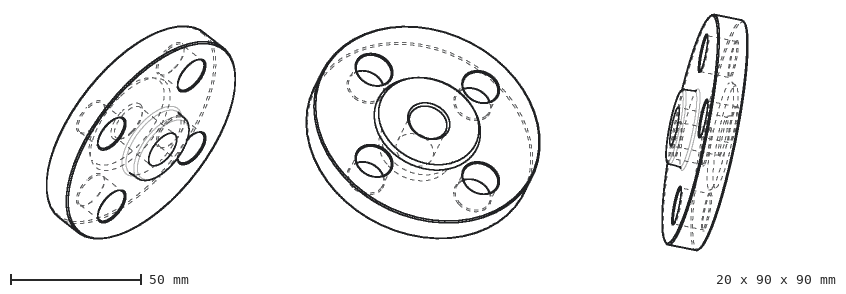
import cadquery as cq

flange_diameter = 90.0
flange_thickness = 12.0
rim_chamfer = 0.5

face_height = 2.0
face_tip_diameter = 40.0
face_base_diameter = 42.3

overall_length = 20.0
neck_end_diameter = 29.1
neck_end_fillet = 1.0
neck_root_diameter = 29.9
root_fillet = 1.1

bore_diameter = 14.9
bore_chamfer = 0.9
bolt_hole_diameter = 14.0
bolt_hole_chamfer = 0.45
bolt_circle_diameter = 60.0
bolt_count = 4
first_bolt_angle = 45.0

flange_front = face_height
flange_back = flange_front + flange_thickness


def make_body():
    """Revolve the half section of the solid flange about the X axis."""
    rim_radius = flange_diameter / 2
    neck_root_radius = neck_root_diameter / 2
    neck_end_radius = neck_end_diameter / 2
    section = (
        cq.Workplane("XY")
        .moveTo(0, 0)
        .lineTo(0, face_tip_diameter / 2)
        .lineTo(flange_front, face_base_diameter / 2)
        .lineTo(flange_front, rim_radius - rim_chamfer)
        .lineTo(flange_front + rim_chamfer, rim_radius)
        .lineTo(flange_back - rim_chamfer, rim_radius)
        .lineTo(flange_back, rim_radius - rim_chamfer)
        .lineTo(flange_back, neck_root_radius)
        .lineTo(overall_length, neck_end_radius)
        .lineTo(overall_length, 0)
        .close()
    )
    body = section.revolve(360, (0, 0, 0), (1, 0, 0))
    body = body.edges(">X").fillet(neck_end_fillet)
    flat_back = body.faces("|X").faces(">X[-2]")
    return flat_back.edges(cq.selectors.RadiusNthSelector(0)).fillet(root_fillet)


def make_hole_cutter(diameter, chamfer, start, end, chamfer_end):
    """Make a cutter along X from start to end, flared at the start and optionally at the end."""
    radius = diameter / 2
    outline = (
        cq.Workplane("XY")
        .moveTo(start, 0)
        .lineTo(start, radius + chamfer)
        .lineTo(start + chamfer, radius)
    )
    if chamfer_end:
        outline = outline.lineTo(end - chamfer, radius).lineTo(end, radius + chamfer)
    else:
        outline = outline.lineTo(end, radius)
    return outline.lineTo(end, 0).close().revolve(360, (0, 0, 0), (1, 0, 0))


result = make_body()

result = result.cut(make_hole_cutter(bore_diameter, bore_chamfer, 0, overall_length, False))

bolt_cutter = make_hole_cutter(bolt_hole_diameter, bolt_hole_chamfer, flange_front, flange_back, True)
bolt_cutter = bolt_cutter.translate((0, bolt_circle_diameter / 2, 0))
for index in range(bolt_count):
    angle = first_bolt_angle + index * 360 / bolt_count
    result = result.cut(bolt_cutter.rotate((0, 0, 0), (1, 0, 0), angle))